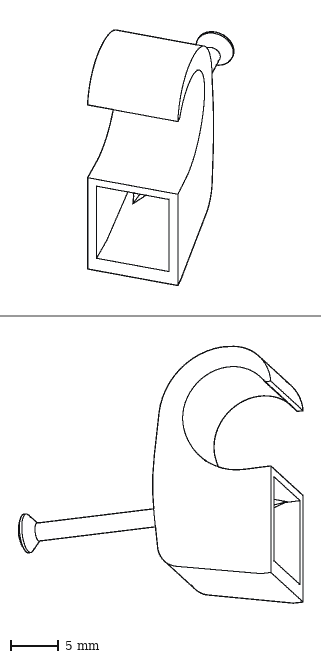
import cadquery as cq
import math


clip_width = 10.0
side_draft = 0.85
block_height = 11.95
foot_length = 1.1
foot_slope = 12.0
foot_corner_radius = 2.75
back_upper_lean = 6.5
back_lower_lean = 5.9
knee_height = 11.6
knee_radius = 30.0

seat_y = 4.87
seat_z = 18.55
seat_radius = 5.1
seat_blend_angle = -12.0

hook_height = 25.98
hook_back_radius = 7.35
hook_back_y = 5.35
lip_z = 21.45
lip_start_y = 4.2
lip_start_z = 25.89
lip_radius = 4.88

pocket_width = 8.0
pocket_depth = 11.4
pocket_bottom = 1.63
pocket_top = 11.05
pocket_draft = 1.25
pocket_level_length = 3.4
pocket_fillet = 1.43

nail_z = 9.6
nail_length = 30.0
shank_radius = 0.97
point_length = 3.0
head_radius = 2.06
head_dome = 0.65
head_rim = 0.27
head_cone = head_radius - shank_radius

cut_margin = 1.0
clip_reach = 2 * hook_back_radius


def tan_deg(angle):
    return math.tan(math.radians(angle))


def on_circle(center, radius, angle):
    """Point (Y, Z) on a circle, with the angle measured from +Y towards +Z."""
    turn = math.radians(angle)
    return (center[0] + radius * math.cos(turn), center[1] + radius * math.sin(turn))


def extrude_across(outline):
    """Extrude a closed YZ outline symmetrically across the whole clip width."""
    return outline.extrude(clip_width / 2 + cut_margin, both=True)


def drafted_slab(front_width, draft):
    """Slab that narrows towards the back by a draft angle on both sides."""
    def half_width(y):
        return front_width / 2 - y * tan_deg(draft)

    front = half_width(-cut_margin)
    back = half_width(clip_reach)
    corners = [(-front, -cut_margin), (front, -cut_margin), (back, clip_reach), (-back, clip_reach)]
    return (
        cq.Workplane("XY", origin=(0, 0, -cut_margin))
        .polyline(corners)
        .close()
        .extrude(hook_height + 2 * cut_margin)
    )


def make_clip_blank():
    hook_center = (hook_back_y, hook_height - hook_back_radius)
    hook_top = (hook_back_y, hook_height)
    hook_shoulder = on_circle(hook_center, hook_back_radius, (90 + back_upper_lean) / 2)
    hook_base = on_circle(hook_center, hook_back_radius, back_upper_lean)
    knee = (hook_base[0] + (hook_base[1] - knee_height) * tan_deg(back_upper_lean), knee_height)

    rise = tan_deg(foot_slope)
    lean = tan_deg(back_lower_lean)
    corner_y = (knee[0] - (knee_height + foot_length * rise) * lean) / (1 - rise * lean)
    corner = (corner_y, (corner_y - foot_length) * rise)

    seat_center = (seat_y, seat_z)
    blend = on_circle(seat_center, seat_radius, seat_blend_angle)
    blend_sine = math.sin(math.radians(seat_blend_angle))
    wide_radius = (blend[1] - block_height) / (1 + blend_sine)
    wide_center = on_circle(blend, -wide_radius, seat_blend_angle)
    wide_middle = on_circle(wide_center, wide_radius, (seat_blend_angle - 90) / 2)
    seat_end = (wide_center[0], block_height)

    lip_angle = 180 - math.degrees(math.asin((lip_z - seat_z) / seat_radius))
    lip_inner = on_circle(seat_center, seat_radius, lip_angle)
    seat_middle = on_circle(seat_center, seat_radius, (lip_angle + seat_blend_angle) / 2)

    outline = (
        cq.Workplane("YZ")
        .moveTo(0, 0)
        .lineTo(foot_length, 0)
        .lineTo(*corner)
        .lineTo(*knee)
        .lineTo(*hook_base)
        .threePointArc(hook_shoulder, hook_top)
        .lineTo(lip_start_y, lip_start_z)
        .radiusArc((0, lip_z), -lip_radius)
        .lineTo(*lip_inner)
        .threePointArc(seat_middle, blend)
        .threePointArc(wide_middle, seat_end)
        .lineTo(0, block_height)
        .close()
    )
    blank = extrude_across(outline)
    blank = blank.edges(cq.NearestToPointSelector((0, *corner))).fillet(foot_corner_radius)
    blank = blank.edges(cq.NearestToPointSelector((0, *knee))).fillet(knee_radius)
    return blank.intersect(drafted_slab(clip_width, side_draft))


def make_pocket():
    back_floor = pocket_bottom + (pocket_depth - pocket_level_length) * tan_deg(foot_slope)
    back_top = pocket_top - pocket_depth * tan_deg(pocket_draft)
    outline = (
        cq.Workplane("YZ")
        .moveTo(0, pocket_bottom)
        .lineTo(pocket_level_length, pocket_bottom)
        .lineTo(pocket_depth, back_floor)
        .lineTo(pocket_depth, back_top)
        .lineTo(0, pocket_top)
        .close()
    )
    pocket = extrude_across(outline)
    floor_edge = cq.NearestToPointSelector((0, pocket_depth, back_floor))
    pocket = pocket.edges(floor_edge).fillet(pocket_fillet)
    return pocket.intersect(drafted_slab(pocket_width, pocket_draft))


def make_clip():
    nail_hole = (
        cq.Workplane("XZ", origin=(0, 0, nail_z))
        .circle(shank_radius)
        .extrude(-nail_length)
    )
    return make_clip_blank().cut(make_pocket()).cut(nail_hole)


def make_nail():
    """Domed countersunk nail along Y, with a four-sided point."""
    rim_back = nail_length - head_dome
    rim_front = rim_back - head_rim
    neck = rim_front - head_cone
    dome_radius = (head_radius**2 + head_dome**2) / (2 * head_dome)
    turned = (
        cq.Workplane("YZ")
        .moveTo(0, 0)
        .lineTo(0, shank_radius)
        .lineTo(neck, shank_radius)
        .lineTo(rim_front, head_radius)
        .lineTo(rim_back, head_radius)
        .radiusArc((nail_length, 0), dome_radius)
        .close()
        .revolve(360, (0, 0), (1, 0))
        .translate((0, 0, nail_z))
    )

    facet_offset = shank_radius / math.sqrt(2)
    facet_end = point_length * shank_radius / facet_offset
    waste = (
        cq.Workplane("YZ")
        .polyline([(0, 0), (facet_end, shank_radius), (facet_end, 2 * shank_radius), (0, 2 * shank_radius)])
        .close()
        .extrude(2 * shank_radius, both=True)
    )
    for quarter in range(4):
        facet_waste = waste.rotate((0, 0, 0), (0, 1, 0), 90 * quarter).translate((0, 0, nail_z))
        turned = turned.cut(facet_waste)
    return turned


clip = make_clip()
nail = make_nail()
result = cq.Compound.makeCompound([clip.val(), nail.val()])